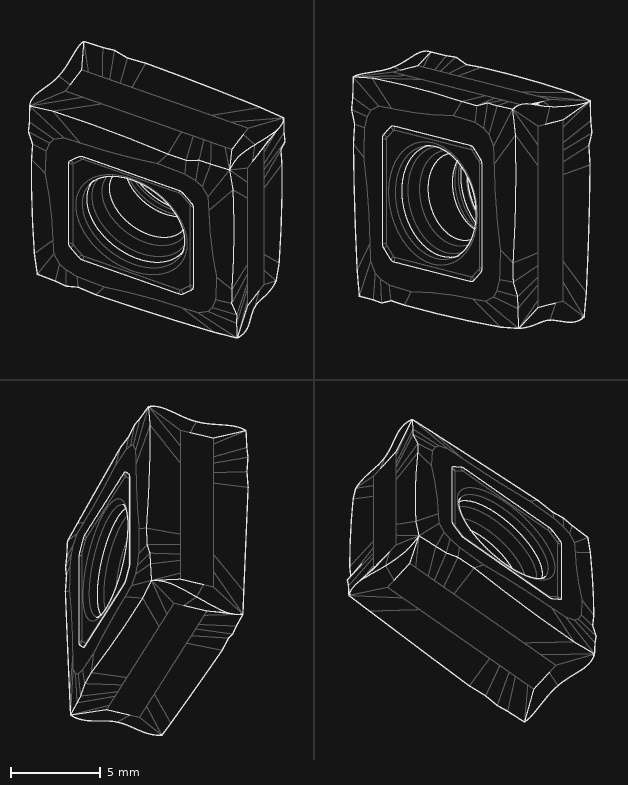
import cadquery as cq
import math


thickness = 6.3
half_thickness = thickness / 2
half_size = 6.71

panel_height = 6.25
panel_half_length = 5.26
panel_half_width = 0.99
flank_split = 0.4

nose_along = 6.08
nose_reach = 6.56
nose_y = -2.85
ridge_crest_y = -2.21
ridge_slope_reach = 6.5
ridge_slope_y = -1.07
waist_corner = 6.2

throat_radius = 2.5
throat_half_length = 0.97
seat_radius = 2.74
seat_depth = 1.68
wall_bottom_radius = 3.06
wall_bottom_depth = 1.07
wall_middle_radius = 3.21
wall_middle_depth = 0.74
wall_top_radius = 3.25
wall_top_depth = 0.27
mouth_radius = 3.57

recess_half_width = 3.95
recess_corner_cut = 0.75
recess_corner_radius = 0.39
recess_depth = 0.07
recess_wall_width = 0.25

low_nose = (-nose_reach, nose_y, nose_along)
high_nose = (nose_along, nose_y, nose_reach)
plateau_corner = (4.87, 4.24)
low_plateau_corner = (-plateau_corner[1], plateau_corner[0])
stations = [
    (low_nose, -4.16, low_plateau_corner),
    ((-5.1, -2.82, 6.28), -2.95, (-3.22, 4.93)),
    ((2.28, -3.06, 6.33), 2.08, (1.68, 5.42)),
    ((3.41, -3.0, 6.3), 2.82, (3.41, 5.35)),
    ((4.2, -2.95, 6.59), 3.49, (4.09, 5.14)),
    ((4.91, -2.9, 6.55), 3.93, (4.51, 4.87)),
    (high_nose, 4.83, plateau_corner),
]
long_run = 1
long_edge_middle = (-1.34, -2.91, 6.39)
long_plateau_middle = (-0.8, 5.07)

origin = cq.Vector(0, 0, 0)
hole_axis = cq.Vector(0, 1, 0)
flip_axis = cq.Vector(0, 0, 1)


def on_plateau(point):
    x, z = point
    return cq.Vector(x, -half_thickness, z)


def on_panel(x, y=-panel_half_width):
    return cq.Vector(x, y, panel_height)


def polygon(points):
    return cq.Face.makeFromWires(cq.Wire.makePolygon(points, close=True))


def run(start, end, middle=None):
    if middle is None:
        return cq.Edge.makeLine(start, end)
    return cq.Edge.makeThreePointArc(start, middle, end)


def flank_and_rake():
    """Faces on both sides of the cutting edge, and the plateau outline edges."""
    faces = []
    outline = []
    for i, (first, second) in enumerate(zip(stations, stations[1:])):
        curved = i == long_run
        edge_middle = cq.Vector(*long_edge_middle) if curved else None
        plateau_middle = on_plateau(long_plateau_middle) if curved else None
        cutting_edge = run(cq.Vector(*first[0]), cq.Vector(*second[0]), edge_middle)
        panel_edge = run(on_panel(first[1]), on_panel(second[1]))
        plateau_edge = run(on_plateau(first[2]), on_plateau(second[2]), plateau_middle)
        faces.append(cq.Face.makeRuledSurface(cutting_edge, panel_edge))
        faces.append(cq.Face.makeRuledSurface(cutting_edge, plateau_edge))
        outline.append(plateau_edge)
    return faces, outline


def ridge(place):
    """Curve from a nose to the waist corner; place(along, y, reach) sets the end of the side."""
    return cq.Edge.makeSpline([
        place(nose_along, nose_y, nose_reach),
        place(nose_along, ridge_crest_y, half_size),
        place(nose_along, ridge_slope_y, ridge_slope_reach),
        place(waist_corner, 0, waist_corner),
    ])


def at_high_end(along, y, reach):
    return cq.Vector(along, y, reach)


def at_low_end(along, y, reach):
    return cq.Vector(-reach, y, along)


def corner_faces(station, end, place):
    """Faces between a panel end and the ridge; end is -1 (low nose) or 1 (high nose)."""
    tip, fan_start, _ = station
    corner = on_panel(end * panel_half_length)
    split = on_panel(end * panel_half_length, end * flank_split)
    return [
        polygon([cq.Vector(*tip), corner, on_panel(fan_start)]),
        cq.Face.makeRuledSurface(ridge(place), cq.Edge.makeLine(corner, split)),
    ]


def panel():
    stops = [-panel_half_length] + [s[1] for s in stations] + [panel_half_length]
    half_outline = [(x, -panel_half_width) for x in stops] + [(panel_half_length, flank_split)]
    other_half = [(-x, -y) for x, y in half_outline]
    return polygon([on_panel(x, y) for x, y in half_outline + other_half])


def turned(shapes):
    return [s.rotate(origin, hole_axis, 90 * turn) for turn in range(4) for s in shapes]


def insert_body():
    faces, outline = flank_and_rake()
    faces += corner_faces(stations[0], -1, at_low_end)
    faces += corner_faces(stations[-1], 1, at_high_end)
    plateau = cq.Face.makeFromWires(cq.Wire.assembleEdges(turned(outline)))
    front = turned(faces) + [plateau]
    back = [f.rotate(origin, flip_axis, 180) for f in front]
    shell = cq.Shell.makeShell(front + back + turned([panel()]))
    return cq.Workplane(cq.Solid.makeSolid(shell))


def screw_seat():
    """Front end of the hole, from its rounded mouth down to the throat."""
    floor = recess_depth - half_thickness
    mouth_round_x = wall_top_radius + (mouth_radius - wall_top_radius) * (1 - math.sqrt(0.5))
    mouth_round_y = floor + wall_top_depth * (1 - math.sqrt(0.5))
    return (
        cq.Workplane("XY")
        .moveTo(0, floor)
        .lineTo(mouth_radius, floor)
        .threePointArc(
            (mouth_round_x, mouth_round_y),
            (wall_top_radius, floor + wall_top_depth),
        )
        .lineTo(wall_middle_radius, floor + wall_middle_depth)
        .lineTo(wall_bottom_radius, floor + wall_bottom_depth)
        .lineTo(seat_radius, floor + seat_depth)
        .lineTo(throat_radius, -throat_half_length)
        .lineTo(0, -throat_half_length)
        .close()
        .revolve(360, (0, 0, 0), (0, 1, 0))
    )


def recess():
    """Prism with a rounded bottom edge; only the lowest part of the rounding enters the body."""
    cove_radius = (recess_wall_width**2 + recess_depth**2) / (2 * recess_depth)
    overhang = cove_radius - recess_wall_width
    prism_width = 2 * (recess_half_width + overhang)
    corner_cut = recess_corner_cut + overhang * (2 - math.sqrt(2))
    return (
        cq.Workplane("XZ", origin=(0, recess_depth - half_thickness, 0))
        .rect(prism_width, prism_width)
        .extrude(2 * cove_radius)
        .edges("|Y")
        .chamfer(corner_cut)
        .edges("|Y")
        .fillet(recess_corner_radius + overhang)
        .faces(">Y")
        .edges()
        .fillet(cove_radius)
    )


def throat():
    return cq.Workplane("XZ").circle(throat_radius).extrude(half_thickness, both=True)


result = insert_body().cut(throat())
for cutter in (recess(), screw_seat()):
    result = result.cut(cutter).cut(cutter.rotate((0, 0, 0), (0, 0, 1), 180))